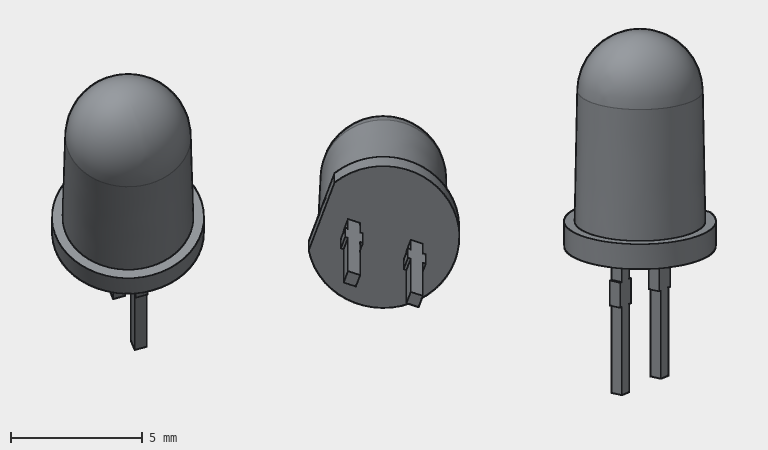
import cadquery as cq

total_height = 14.1

flange_diameter = 5.8
flange_height = 1.0

lens_base_radius = 2.5
lens_top_radius = 2.4
dome_height = 2.34

lead_length = 5.53
lead_size = 0.5
lead_pitch = 2.54
standoff_width = 0.72
standoff_height = 1.0
standoff_gap = 1.0

flange_radius = flange_diameter / 2
flat_x = -lens_base_radius
lens_top_z = total_height - lead_length
dome_base_z = lens_top_z - dome_height
dome_radius = (lens_top_radius**2 + dome_height**2) / (2 * dome_height)
dome_center_z = lens_top_z - dome_radius
arc_mid_x = dome_radius * 0.5**0.5
arc_mid_z = dome_center_z + arc_mid_x


def make_flange():
    """Disc trimmed by a flat on the -X side."""
    disc = cq.Workplane("XY").circle(flange_radius).extrude(flange_height)
    keep = cq.Workplane("XY").box(
        flange_radius - flat_x, flange_diameter, flange_height, centered=(False, True, False)
    )
    return disc.intersect(keep.translate((flat_x, 0, 0)))


def make_lens():
    """Tapered body and dome, revolved about Z."""
    return (
        cq.Workplane("XZ")
        .moveTo(0, flange_height)
        .lineTo(lens_base_radius, flange_height)
        .lineTo(lens_top_radius, dome_base_z)
        .threePointArc((arc_mid_x, arc_mid_z), (0, lens_top_z))
        .close()
        .revolve(360, (0, 0), (0, 1))
    )


def make_lead(x):
    """Square bar hanging from the flange, with its stand-off block."""
    bar = cq.Workplane("XY").rect(lead_size, lead_size).extrude(-lead_length)
    standoff = (
        cq.Workplane("XY")
        .workplane(offset=-standoff_gap)
        .rect(standoff_width, lead_size)
        .extrude(-standoff_height)
    )
    return bar.union(standoff).translate((x, 0, 0))


result = make_flange().union(make_lens())
for side in (-1, 1):
    result = result.union(make_lead(side * lead_pitch / 2))